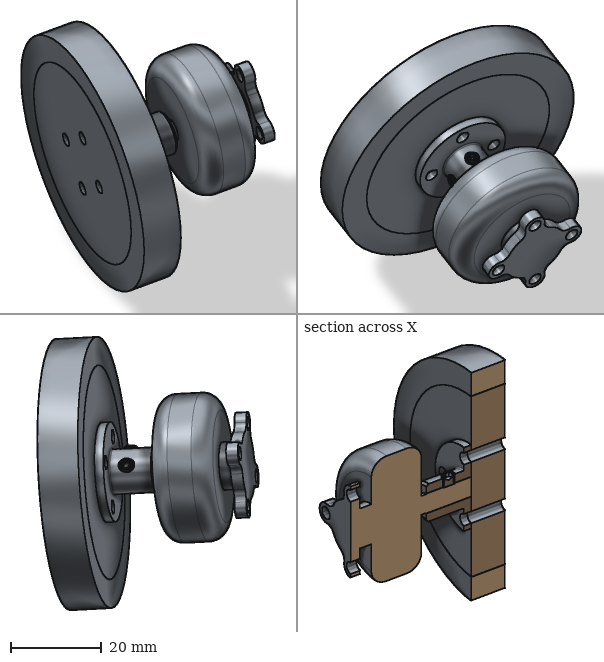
import cadquery as cq
import math


TYRE_DIAMETER = 59.85
DISC_DIAMETER = 47.2
WHEEL_WIDTH = 9.1

FLANGE_DIAMETER = 22.0
FLANGE_THICKNESS = 2.0
COUPLING_LENGTH = 12.0
BOSS_DIAMETER = 10.0
BOSS_CHAMFER = 0.6
BOSS_FILLET = 0.3
SHAFT_DIAMETER = 5.0

BOLT_HOLE_DIAMETER = 3.0
BOLT_CIRCLE_RADIUS = 8.0
BOLT_HOLE_COUNT = 4

SCREW_Y = 15.1
SCREW_DIAMETER = 3.0
SCREW_LENGTH = 3.05
SCREW_FACE_DIAMETER = 2.35
THREAD_ROOT_DIAMETER = 2.5
THREAD_PITCH = 0.5
SCREW_SEAT_DIAMETER = 3.6
SOCKET_WIDTH = 1.5
SOCKET_DEPTH = 1.2
SOCKET_POINT_DEPTH = SOCKET_WIDTH / 4
SCREW_DIRECTIONS = [cq.Vector(1, 0, 0), cq.Vector(0, 0, 1)]

HOUSING_DIAMETER = 32.9
HOUSING_FRONT_Y = 22.3
HOUSING_LENGTH = 13.5
HOUSING_FILLET = 4.05
NECK_DIAMETER = 10.6
PLATE_BACK_Y = 41.4
PLATE_THICKNESS = 2.65

PLATE_HUB_RADIUS = 7.55
LUG_RADIUS = 2.5
LUG_CENTRE_RADIUS = 9.45
LUG_BLEND_RADIUS = 2.5
LUG_HOLE_DIAMETER = 3.0
LUG_COUNT = 4

FLANGE_BACK_Y = WHEEL_WIDTH + FLANGE_THICKNESS
BOSS_END_Y = WHEEL_WIDTH + COUPLING_LENGTH
HOUSING_BACK_Y = HOUSING_FRONT_Y + HOUSING_LENGTH
PLATE_FRONT_Y = PLATE_BACK_Y - PLATE_THICKNESS


def plane_at(y):
    """Sketch plane across the axis: local x is +X, local y is -Z, extrusion is towards +Y."""
    return cq.Workplane(cq.Plane(origin=(0, y, 0), xDir=(1, 0, 0), normal=(0, 1, 0)))


def cylinder(diameter, start_y, end_y):
    return plane_at(start_y).circle(diameter / 2).extrude(end_y - start_y)


def hole_ring(diameter, ring_radius, count, start_y, end_y):
    """Equally spaced cutters, the first one on the X axis."""
    return (
        plane_at(start_y)
        .polarArray(ring_radius, 0, 360, count)
        .circle(diameter / 2)
        .extrude(end_y - start_y)
    )


def bolt_holes():
    return hole_ring(BOLT_HOLE_DIAMETER, BOLT_CIRCLE_RADIUS, BOLT_HOLE_COUNT, 0, FLANGE_BACK_Y)


def make_tyre():
    return cylinder(TYRE_DIAMETER, 0, WHEEL_WIDTH).cut(cylinder(DISC_DIAMETER, 0, WHEEL_WIDTH))


def make_disc():
    return cylinder(DISC_DIAMETER, 0, WHEEL_WIDTH).cut(bolt_holes())


def screw_plane(direction, radius):
    """Sketch plane across a set screw at a given distance from the main axis."""
    origin = direction * radius + cq.Vector(0, SCREW_Y, 0)
    return cq.Workplane(cq.Plane(origin=origin, xDir=(0, 1, 0), normal=direction))


def screw_hole(direction):
    """Plain hole from the main axis outwards, countersunk where it leaves the boss."""
    boss_radius = BOSS_DIAMETER / 2
    hole = screw_plane(direction, 0).circle(SCREW_DIAMETER / 2).extrude(boss_radius)
    seat_radius = SCREW_SEAT_DIAMETER / 2
    seat = cq.Solid.makeCone(
        seat_radius, 0, seat_radius, pnt=screw_plane(direction, boss_radius).plane.origin, dir=direction * -1
    )
    return hole.union(cq.Workplane(seat))


def make_coupling():
    """Flanged boss with a shaft bore, bolt holes and set screw holes."""
    flange = cylinder(FLANGE_DIAMETER, WHEEL_WIDTH, FLANGE_BACK_Y)
    boss = cylinder(BOSS_DIAMETER, WHEEL_WIDTH, BOSS_END_Y).faces(">Y").chamfer(BOSS_CHAMFER)
    coupling = flange.union(boss)
    coupling = coupling.edges(cq.selectors.RadiusNthSelector(1)).edges("<Y").fillet(BOSS_FILLET)
    coupling = coupling.cut(cylinder(SHAFT_DIAMETER, WHEEL_WIDTH, BOSS_END_Y)).cut(bolt_holes())
    for direction in SCREW_DIRECTIONS:
        coupling = coupling.cut(screw_hole(direction))
    return coupling


def set_screw_blank():
    """Screw standing on the origin along Z; V-grooves round its side stand for the thread."""
    outer_radius = SCREW_DIAMETER / 2
    root_radius = THREAD_ROOT_DIAMETER / 2
    face_radius = SCREW_FACE_DIAMETER / 2
    shoulder = SCREW_LENGTH - (outer_radius - face_radius)
    groove_count = int(shoulder / THREAD_PITCH)
    first_crest = shoulder - groove_count * THREAD_PITCH

    profile = cq.Workplane("XZ").lineTo(outer_radius, 0).lineTo(outer_radius, first_crest)
    for groove in range(groove_count):
        crest = first_crest + groove * THREAD_PITCH
        profile = profile.lineTo(root_radius, crest + THREAD_PITCH / 2)
        profile = profile.lineTo(outer_radius, crest + THREAD_PITCH)
    return profile.lineTo(face_radius, SCREW_LENGTH).lineTo(0, SCREW_LENGTH).close().revolve()


def hex_socket():
    """Hexagonal socket with a bevelled mouth and a drilled, conical bottom."""
    corner_radius = SOCKET_WIDTH / 2 / math.cos(math.pi / 6)
    bottom = SCREW_LENGTH - SOCKET_DEPTH
    hexagon = cq.Workplane("XY", origin=(0, 0, bottom)).polygon(6, 2 * corner_radius).extrude(SOCKET_DEPTH)
    mouth = cq.Solid.makeCone(
        corner_radius, 0, corner_radius, pnt=cq.Vector(0, 0, SCREW_LENGTH), dir=cq.Vector(0, 0, -1)
    )
    drill_point = cq.Solid.makeCone(
        SOCKET_WIDTH / 2, 0, SOCKET_POINT_DEPTH, pnt=cq.Vector(0, 0, bottom), dir=cq.Vector(0, 0, -1)
    )
    return hexagon.union(cq.Workplane(mouth)).union(cq.Workplane(drill_point))


def make_set_screw(direction):
    """Set screw with its tip on the shaft and its socket facing outwards."""
    screw = set_screw_blank().cut(hex_socket())
    return cq.Workplane(screw.val().moved(screw_plane(direction, SHAFT_DIAMETER / 2).plane.location))


def plate_outline():
    """Closed outline of hub arcs, blend arcs and lug arcs, all tangent."""
    blend_to_hub = PLATE_HUB_RADIUS + LUG_BLEND_RADIUS
    blend_to_lug = LUG_RADIUS + LUG_BLEND_RADIUS
    along = (blend_to_hub**2 - blend_to_lug**2 + LUG_CENTRE_RADIUS**2) / (2 * LUG_CENTRE_RADIUS)
    across = math.sqrt(blend_to_hub**2 - along**2)
    hub_share = PLATE_HUB_RADIUS / blend_to_hub
    hub_point = (along * hub_share, across * hub_share)
    lug_share = LUG_RADIUS / blend_to_lug
    lug_point = (LUG_CENTRE_RADIUS + (along - LUG_CENTRE_RADIUS) * lug_share, across * lug_share)
    to_hub = math.atan2(-across, -along)
    to_lug = math.atan2(-across, LUG_CENTRE_RADIUS - along)
    mid_angle = (to_hub + to_lug) / 2
    blend_middle = (
        along + LUG_BLEND_RADIUS * math.cos(mid_angle),
        across + LUG_BLEND_RADIUS * math.sin(mid_angle),
    )
    lug_tip = (LUG_CENTRE_RADIUS + LUG_RADIUS, 0)
    hub_middle = (
        PLATE_HUB_RADIUS * math.cos(math.pi / LUG_COUNT),
        PLATE_HUB_RADIUS * math.sin(math.pi / LUG_COUNT),
    )

    def turned(point, index, side=1):
        """Point carried round to the given lug, mirrored in the lug's centre line for side -1."""
        angle = 2 * math.pi * index / LUG_COUNT
        x, y = point[0], side * point[1]
        return (
            x * math.cos(angle) - y * math.sin(angle),
            x * math.sin(angle) + y * math.cos(angle),
        )

    outline = plane_at(PLATE_FRONT_Y).moveTo(*turned(hub_point, 0, -1))
    for lug in range(LUG_COUNT):
        outline = (
            outline.threePointArc(turned(blend_middle, lug, -1), turned(lug_point, lug, -1))
            .threePointArc(turned(lug_tip, lug), turned(lug_point, lug))
            .threePointArc(turned(blend_middle, lug), turned(hub_point, lug))
            .threePointArc(turned(hub_middle, lug), turned(hub_point, lug + 1, -1))
        )
    return outline.close()


def make_motor():
    """Rounded housing with its shaft, neck and lugged mounting plate in one piece."""
    housing = cylinder(HOUSING_DIAMETER, HOUSING_FRONT_Y, HOUSING_BACK_Y)
    housing = housing.edges().fillet(HOUSING_FILLET)
    shaft = cylinder(SHAFT_DIAMETER, WHEEL_WIDTH, HOUSING_FRONT_Y)
    neck = cylinder(NECK_DIAMETER, HOUSING_BACK_Y, PLATE_FRONT_Y)
    plate = plate_outline().extrude(PLATE_THICKNESS)
    plate = plate.cut(
        hole_ring(LUG_HOLE_DIAMETER, LUG_CENTRE_RADIUS, LUG_COUNT, PLATE_FRONT_Y, PLATE_BACK_Y)
    )
    return housing.union(shaft).union(neck).union(plate)


tyre = make_tyre()
disc = make_disc()
coupling = make_coupling()
motor = make_motor()
set_screws = [make_set_screw(direction) for direction in SCREW_DIRECTIONS]

result = cq.Compound.makeCompound(
    [tyre.val(), disc.val(), coupling.val(), motor.val(), *[screw.val() for screw in set_screws]]
)